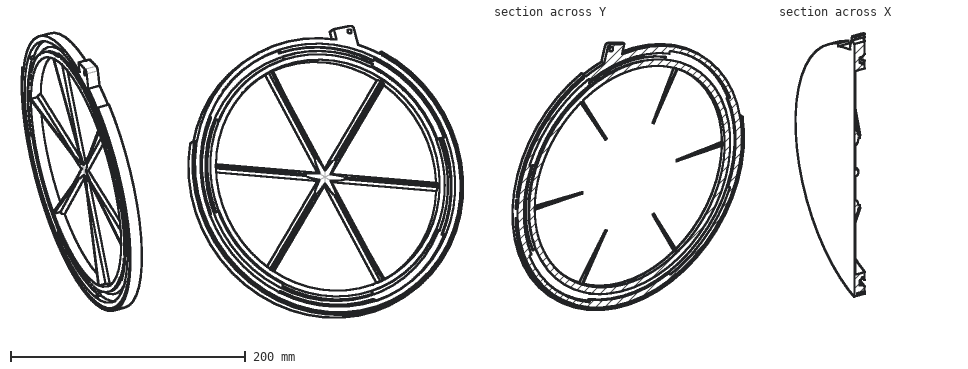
import cadquery as cq
thickness = 10.5
rim_radius = 120.0
floor_thickness = 1.5
recess_radius = 101.2
recess_depth = thickness - floor_thickness

band_radius = 245.0 / 2
band_start_angle = 170.5
band_sweep = 256.2
slot_outer_radius = 121.0
slot_end_angle = 0.9
slot_depth = 7.7

groove_inner_radius = 106.0
groove_outer_radius = 115.2
groove_depth = 5.0
inner_ramp_size = 3.0
catch_size = 2.3
lip_radius = 108.8
lip_thickness = 0.8
lip_half_angle = 22.0
lip_count = 4

rib_count = 6
rib_thickness = 1.5
rib_height_at_centre = 1.5
rib_foot_radius = 2.8

tab_tilt = 15.5
tab_width = 18.1
tab_edge_margin = 4.5
tab_corner_radius = 3.0
tab_length = 20.5
tab_hole_x = 19.7
tab_hole_z = 128.0
tab_hole_diameter = 3.5


def disc(radius, depth):
    """Solid cylinder along Y with its front face at Y = 0."""
    return cq.Workplane("XZ").circle(radius).extrude(-depth)


def ring_sector(profile, start_angle, sweep):
    """Revolve an (r, y) profile about the Y axis, from start_angle (0 = +X, counter-clockwise to +Z)."""
    solid = cq.Workplane("XY").polyline(profile).close().revolve(sweep, (0, 0, 0), (0, -1, 0))
    return solid.rotate((0, 0, 0), (0, -1, 0), start_angle)


def rectangle_profile(inner, outer, depth):
    return [(inner, 0), (outer, 0), (outer, depth), (inner, depth)]


def rim_band():
    """The raised band and the slot to be cut from it."""
    band = ring_sector(
        rectangle_profile(groove_outer_radius, band_radius, thickness), band_start_angle, band_sweep
    )
    slot = ring_sector(
        rectangle_profile(rim_radius, slot_outer_radius, slot_depth),
        band_start_angle + slot_end_angle,
        band_sweep - 2 * slot_end_angle,
    )
    return band, slot


def hinge_tab():
    """Tab drawn upright around its hole, then tilted and moved into place."""
    left = tab_edge_margin - tab_width
    corner_start = tab_edge_margin - tab_corner_radius
    tab = (
        cq.Workplane("XZ")
        .moveTo(left, tab_edge_margin)
        .lineTo(corner_start, tab_edge_margin)
        .radiusArc((tab_edge_margin, corner_start), tab_corner_radius)
        .lineTo(tab_edge_margin, tab_edge_margin - tab_length)
        .lineTo(left, tab_edge_margin - tab_length)
        .close()
        .extrude(-thickness)
    )
    hole = disc(tab_hole_diameter / 2, thickness)
    tab = tab.cut(hole).rotate((0, 0, 0), (0, -1, 0), tab_tilt)
    return tab.translate((tab_hole_x, 0, tab_hole_z))


def ring_groove():
    """The empty space of the groove, less its lips and catches."""
    inner_ramp_start = groove_depth - inner_ramp_size
    open_profile = [
        (groove_inner_radius, 0),
        (groove_outer_radius, 0),
        (groove_outer_radius, groove_depth),
        (groove_inner_radius + inner_ramp_size, groove_depth),
        (groove_inner_radius, inner_ramp_start),
    ]
    catch_profile = [
        (groove_outer_radius, 0),
        (groove_outer_radius, groove_depth),
        (groove_outer_radius - catch_size, groove_depth),
        (groove_outer_radius - catch_size, catch_size),
    ]
    lip_profile = rectangle_profile(groove_inner_radius, lip_radius, lip_thickness)
    groove = ring_sector(open_profile, 0, 360)
    for i in range(lip_count):
        start_angle = i * 360 / lip_count - lip_half_angle
        for profile in (catch_profile, lip_profile):
            groove = groove.cut(ring_sector(profile, start_angle, 2 * lip_half_angle))
    return groove


def rib():
    """One rib along +X: upright web with concave feet, cut off by a sloping top."""
    half = rib_thickness / 2
    foot = half + rib_foot_radius
    shoulder = recess_depth - rib_foot_radius
    section = (
        cq.Workplane("YZ")
        .moveTo(recess_depth, -foot)
        .radiusArc((shoulder, -half), rib_foot_radius)
        .lineTo(0, -half)
        .lineTo(0, half)
        .lineTo(shoulder, half)
        .radiusArc((recess_depth, foot), rib_foot_radius)
        .lineTo(thickness, foot)
        .lineTo(thickness, -foot)
        .close()
        .extrude(recess_radius)
    )
    side_outline = (
        cq.Workplane("XY", origin=(0, 0, -foot))
        .moveTo(0, recess_depth - rib_height_at_centre)
        .lineTo(recess_radius, 0)
        .lineTo(recess_radius, thickness)
        .lineTo(0, thickness)
        .close()
        .extrude(2 * foot)
    )
    return section.intersect(side_outline)


band, band_slot = rim_band()
body = disc(rim_radius, thickness).union(band).union(hinge_tab())
body = body.cut(band_slot).cut(ring_groove()).cut(disc(recess_radius, recess_depth))
for i in range(rib_count):
    body = body.union(rib().rotate((0, 0, 0), (0, 1, 0), i * 360 / rib_count))
result = body